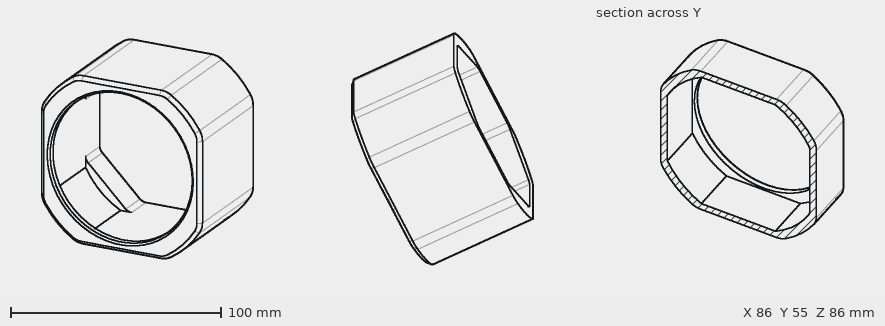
import cadquery as cq

across_flats = 86.0
length = 55.0
outer_radius = 49.0
edge_blend = 10.0
front_chamfer = 2.0

opening_radius = 38.0
opening_chamfer = 1.0
lip_thickness = 3.95

cavity_half_width = 39.05
cavity_radius = 44.0
rear_length = 15.0
rear_diagonal_half_width = 39.2
rear_blend = 4.4

front_y = -length / 2
back_y = length / 2


def along_y(start_y):
    """Workplane facing +Y at the given station."""
    return cq.Workplane("XZ", origin=(0, start_y, 0))


def flatted_round(start_y, end_y, radius, width):
    """Cylinder along Y trimmed to a square of the given width."""
    depth = end_y - start_y
    cylinder = along_y(start_y).circle(radius).extrude(-depth)
    square = along_y(start_y).rect(width, width).extrude(-depth)
    return cylinder.intersect(square)


def make_body():
    body = flatted_round(front_y, back_y, outer_radius, across_flats)
    body = body.edges("|Y").fillet(edge_blend)
    return body.faces("<Y").chamfer(front_chamfer)


def make_opening():
    bore = along_y(front_y).circle(opening_radius).extrude(-lip_thickness)
    mouth = cq.Workplane(
        cq.Solid.makeCone(
            opening_radius + opening_chamfer,
            opening_radius,
            opening_chamfer,
            pnt=cq.Vector(0, front_y, 0),
            dir=cq.Vector(0, 1, 0),
        )
    )
    return bore.union(mouth)


def make_cavity():
    width = 2 * cavity_half_width
    return flatted_round(front_y + lip_thickness, back_y - rear_length, cavity_radius, width)


def make_rear_opening():
    square_width = 2 * cavity_half_width
    diagonal_width = 2 * rear_diagonal_half_width
    start = along_y(back_y - rear_length)
    square = start.rect(square_width, square_width).extrude(-rear_length)
    diagonal = start.rect(diagonal_width, diagonal_width).extrude(-rear_length)
    diagonal = diagonal.rotate((0, 0, 0), (0, 1, 0), 45)
    return square.intersect(diagonal).edges("|Y").fillet(rear_blend)


result = make_body().cut(make_opening()).cut(make_cavity()).cut(make_rear_opening())